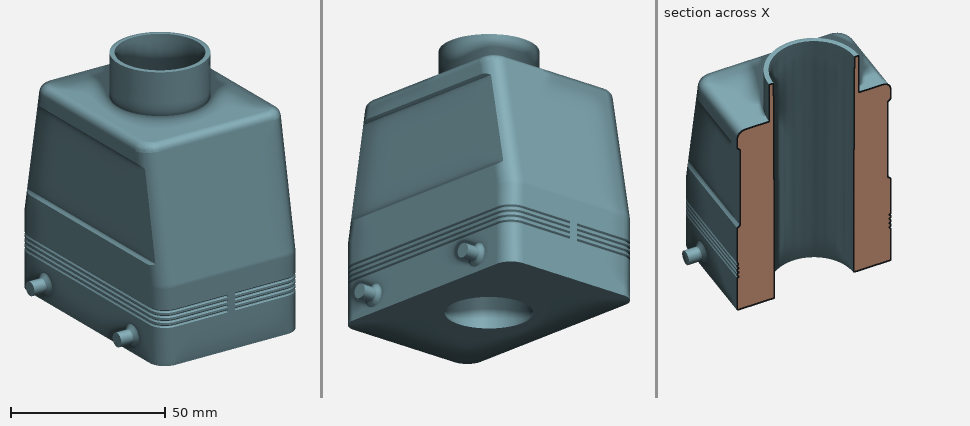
import cadquery as cq
import math

body_length = 82.0
body_depth = 56.0
body_height = 75.0
skirt_height = 28.0
side_lean_angle = 10.7
lean_blend_radius = 5.0
corner_radius = 6.0
top_edge_radius = 3.0

total_height = 90.5
collar_diameter = 32.8
bore_mouth_diameter = 29.5
bore_bottom_diameter = 28.8

panel_bottom = 34.5
panel_top = 68.0
panel_depth = 1.0

groove_count = 4
groove_width = 1.0
lowest_groove_height = 14.0
land_between_grooves = 0.77
groove_pitch = groove_width + land_between_grooves
groove_gap = 3.0

pin_span = 68.0
pin_spacing = 50.0
pin_height = 6.0
pin_diameter = 5.0
pin_base_diameter = 8.0
pin_base_height = 1.3


def make_body():
    lean = (body_height - skirt_height) * math.tan(math.radians(side_lean_angle))
    half_bottom = body_length / 2
    half_top = half_bottom - lean
    outline = [
        (-half_bottom, 0),
        (half_bottom, 0),
        (half_bottom, skirt_height),
        (half_top, body_height),
        (-half_top, body_height),
        (-half_bottom, skirt_height),
    ]
    body = cq.Workplane("XZ").polyline(outline).close().extrude(body_depth / 2, both=True)
    body = body.edges("|Y").edges("<X or >X").edges(">Z").fillet(lean_blend_radius)
    body = body.faces("<Y or >Y").edges("not |X").fillet(corner_radius)
    return body.faces(">Z").edges().fillet(top_edge_radius)


def make_panel_cutter():
    """Trapezoidal bar that cuts the panel into the front face."""
    face = -body_depth / 2
    floor = face + panel_depth
    outline = [
        (face, panel_bottom),
        (floor, panel_bottom + panel_depth),
        (floor, panel_top - panel_depth),
        (face, panel_top),
    ]
    return cq.Workplane("YZ").polyline(outline).close().extrude(body_length / 2, both=True)


def make_groove_cutter(height):
    """Ring with a 90 degree V section, left open at the middle of both sides."""
    depth = groove_width / 2
    middle = cq.Workplane("XY", origin=(0, 0, height))
    ring = middle.rect(body_length, body_depth).extrude(depth, both=True)
    for direction in (1, -1):
        core = (
            middle.sketch()
            .rect(body_length - 2 * depth, body_depth - 2 * depth)
            .vertices()
            .fillet(corner_radius - depth)
            .finalize()
            .extrude(direction * depth, taper=-45)
        )
        ring = ring.cut(core)
    gap = middle.box(body_length, groove_gap, groove_width)
    return ring.cut(gap)


def make_pin(x):
    """Pin with a conical base, pointing out of the front face."""
    face = -body_depth / 2
    pin_length = pin_span / 2 + face
    base_plane = cq.Plane(origin=(x, face, pin_height), xDir=(1, 0, 0), normal=(0, -1, 0))
    pin = cq.Workplane(base_plane).circle(pin_diameter / 2).extrude(pin_length)
    cone = (
        cq.Workplane(base_plane)
        .circle(pin_base_diameter / 2)
        .workplane(offset=pin_base_height)
        .circle(pin_diameter / 2)
        .loft()
    )
    return pin.union(cone)


def make_bore():
    """Bore through the whole part, narrowing evenly from its mouth to the bottom."""
    return (
        cq.Workplane("XY")
        .circle(bore_bottom_diameter / 2)
        .workplane(offset=total_height)
        .circle(bore_mouth_diameter / 2)
        .loft()
    )


result = make_body()

panel = make_panel_cutter()
result = result.cut(panel).cut(panel.mirror("XZ"))

for index in range(groove_count):
    result = result.cut(make_groove_cutter(lowest_groove_height + index * groove_pitch))

for side in (-1, 1):
    pin = make_pin(side * pin_spacing / 2)
    result = result.union(pin).union(pin.mirror("XZ"))

result = result.union(cq.Workplane("XY").circle(collar_diameter / 2).extrude(total_height))
result = result.cut(make_bore())